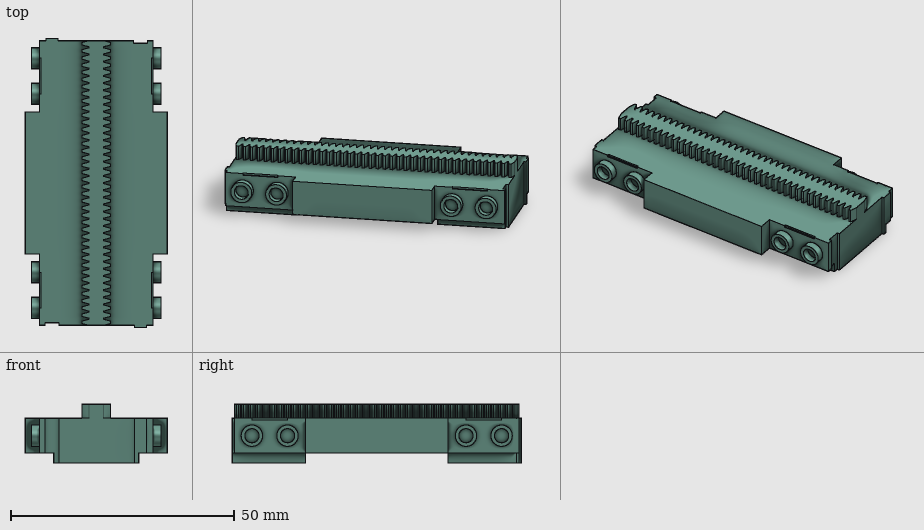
import cadquery as cq

total_length = 64.8
body_length = 63.8
body_width = 25.5
body_height = 7.85
middle_width = 31.8
middle_length = 31.9
foot_width = 19.05
foot_height = 2.2

joint_center = 9.9
tab_width = 2.7
tab_length = (total_length - body_length) / 2
notch_width = 3.1
notch_depth = 0.6

pin_diameter = 4.8
pin_bore = 3.2
pin_length = 1.75
pin_spacing = 8.0
pin_pair_center = 24.0

rebate_size = 0.4

rack_height = 3.2
rack_width = 6.4
tooth_height = 1.6
tooth_count = 40
tooth_base = 1.4
tooth_tip = 0.5

foot_length = (body_length - middle_length) / 2
pin_z = body_height / 2


def box(size_x, size_y, size_z, x, y, z):
    """Box centered on x and y, standing on height z."""
    return cq.Workplane("XY").box(size_x, size_y, size_z, centered=(True, True, False)).translate((x, y, z))


def make_body():
    body = box(body_width, body_length, body_height, 0, 0, 0)
    body = body.union(box(middle_width, middle_length, body_height, 0, 0, 0))
    for end in (-1, 1):
        foot_y = end * (body_length - foot_length) / 2
        body = body.union(box(foot_width, foot_length, foot_height, 0, foot_y, -foot_height))
    return body


def make_tab(end):
    """Tab on one end face; the part of it below the slab is only as wide as the foot."""
    tab_x = -end * joint_center
    tab_y = end * body_length / 2
    tab = box(tab_width, 2 * tab_length, body_height, tab_x, tab_y, 0)
    foot_tab = box(tab_width, 2 * tab_length, foot_height, tab_x, tab_y, -foot_height)
    return tab.union(foot_tab.intersect(box(foot_width, 2 * body_length, foot_height, 0, 0, -foot_height)))


def make_notch(end):
    full_height = body_height + foot_height
    return box(notch_width, 2 * notch_depth, full_height, end * joint_center, end * body_length / 2, -foot_height)


def side_cylinder(side, y, diameter):
    """Cylinder standing out from one long side at pin height."""
    plane = cq.Plane(origin=(side * body_width / 2, y, pin_z), xDir=(0, 1, 0), normal=(side, 0, 0))
    return cq.Workplane(plane).circle(diameter / 2).extrude(pin_length)


def make_rack():
    """Rack whose outline follows the teeth up one side and down the other."""
    tip_x = rack_width / 2
    root_x = tip_x - tooth_height
    pitch = (body_length - tooth_base) / (tooth_count - 1)
    right_side = []
    for tooth in range(tooth_count):
        y = (tooth - (tooth_count - 1) / 2) * pitch
        right_side += [
            (root_x, y - tooth_base / 2),
            (tip_x, y - tooth_tip / 2),
            (tip_x, y + tooth_tip / 2),
            (root_x, y + tooth_base / 2),
        ]
    left_side = [(-x, y) for x, y in reversed(right_side)]
    outline = cq.Workplane("XY").workplane(offset=body_height).polyline(right_side + left_side).close()
    return outline.extrude(rack_height)


result = make_body().union(make_rack())

for end in (-1, 1):
    result = result.union(make_tab(end)).cut(make_notch(end))
    pair_y = end * pin_pair_center
    for side in (-1, 1):
        rebate_x = side * body_width / 2
        rebate_z = body_height - rebate_size
        result = result.cut(box(2 * rebate_size, pin_spacing, rebate_size, rebate_x, pair_y, rebate_z))
        for pin_y in (pair_y - pin_spacing / 2, pair_y + pin_spacing / 2):
            result = result.union(side_cylinder(side, pin_y, pin_diameter))
            result = result.cut(side_cylinder(side, pin_y, pin_bore))